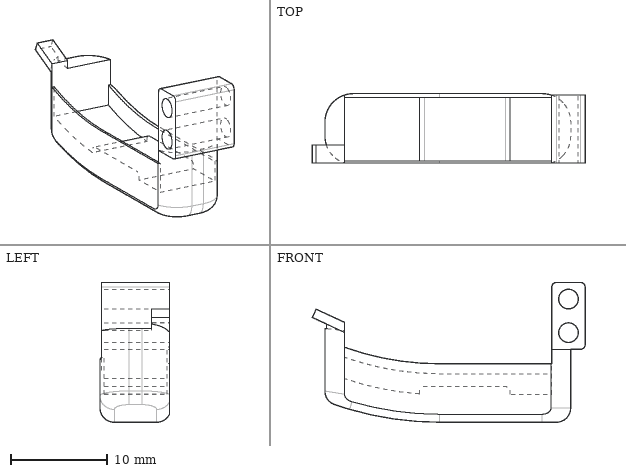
import cadquery as cq
import math

LENGTH = 28.35
BODY_LEFT = 1.3
POCKET_LEFT = 3.37
POCKET_RIGHT = 24.87
BODY_RIGHT = 26.85
BEND_X = 13.22

PAD_WIDTH = 7.1
BODY_WIDTH = 7.4
BODY_FRONT = (PAD_WIDTH - BODY_WIDTH) / 2
BODY_BACK = BODY_FRONT + BODY_WIDTH
POCKET_FRONT = 0.25
POCKET_BACK = 6.83

HEIGHT = 14.55
BOTTOM_BEND = 33.18
RIM_BEND = 29.2
FLOOR_Z = 2.9
FRONT_RIM_Z = 6.1
BACK_RIM_Z = 5.05

PLAN_RADIUS = 3.0
BOTTOM_RADIUS = 1.5
SMALL_RADIUS = 0.5

PAD_LENGTH = LENGTH - POCKET_RIGHT
PAD_HEIGHT = 2 * PAD_LENGTH
PAD_BOTTOM = HEIGHT - PAD_HEIGHT
HOLE_DIAMETER = 2.0

BLOCK_LEFT = 11.15
BLOCK_RIGHT = 20.55
BLOCK_TOP = 3.72

END_OUTER_Z = 9.75
END_INNER_Z = 9.53

TAB_WIDTH = 1.9
TAB_TIP_Z = 10.9
TAB_INNER_Z = 9.33
TAB_THICKNESS = 0.96


def bend_rise(x, radius):
    """Height gained at x by a bend that leaves the level at BEND_X."""
    return radius - math.sqrt(radius**2 - (BEND_X - x) ** 2)


def box(x_range, y_range, z_range):
    """Box spanning three (low, high) ranges."""
    sizes = [high - low for low, high in (x_range, y_range, z_range)]
    corner = (x_range[0], y_range[0], z_range[0])
    return cq.Workplane().box(*sizes, centered=False).translate(corner)


def above_bend(left, right, level, radius, front, back):
    """Solid above a surface that is level right of BEND_X and bends upward left of it."""
    middle = (left + BEND_X) / 2
    return (
        cq.Workplane("XZ", origin=(0, front, 0))
        .moveTo(left, level + bend_rise(left, radius))
        .threePointArc((middle, level + bend_rise(middle, radius)), (BEND_X, level))
        .lineTo(right, level)
        .lineTo(right, HEIGHT)
        .lineTo(left, HEIGHT)
        .close()
        .extrude(front - back)
    )


def rounded_body():
    body = above_bend(BODY_LEFT, BODY_RIGHT, 0, BOTTOM_BEND, BODY_FRONT, BODY_BACK)
    body = body.edges("|Z").fillet(PLAN_RADIUS)
    return body.faces("<Z").edges().fillet(BOTTOM_RADIUS)


def end_cutter(slope, front, back):
    """Cutter above a slope, given by its two XZ ends, on the end wall."""
    outline = slope + [(POCKET_LEFT, HEIGHT), (slope[0][0], HEIGHT)]
    return cq.Workplane("XZ", origin=(0, front, 0)).polyline(outline).close().extrude(front - back)


def trim_body(body):
    body = body.cut(box((0, LENGTH), (BODY_FRONT, 0), (0, HEIGHT)))
    middle_y = PAD_WIDTH / 2
    for level, radius, front, back in (
        (FLOOR_Z, BOTTOM_BEND - FLOOR_Z, POCKET_FRONT, POCKET_BACK),
        (FRONT_RIM_Z, RIM_BEND, BODY_FRONT, middle_y),
        (BACK_RIM_Z, RIM_BEND, middle_y, BODY_BACK),
    ):
        body = body.cut(above_bend(POCKET_LEFT, POCKET_RIGHT, level, radius, front, back))
    body = body.cut(box((POCKET_RIGHT, LENGTH), (BODY_FRONT, BODY_BACK), (PAD_BOTTOM, HEIGHT)))
    rest = [(BODY_LEFT, END_OUTER_Z), (POCKET_LEFT, END_INNER_Z)]
    body = body.cut(end_cutter(rest, TAB_WIDTH, BODY_BACK))
    under_tab = [(0, TAB_TIP_Z), (POCKET_LEFT, TAB_INNER_Z)]
    return body.cut(end_cutter(under_tab, 0, TAB_WIDTH))


def slanted_tab():
    angle = math.atan2(TAB_TIP_Z - TAB_INNER_Z, POCKET_LEFT)
    outline = [
        (0, TAB_TIP_Z),
        (TAB_THICKNESS * math.sin(angle), TAB_TIP_Z + TAB_THICKNESS * math.cos(angle)),
        (POCKET_LEFT, TAB_INNER_Z + TAB_THICKNESS / math.cos(angle)),
        (POCKET_LEFT, TAB_INNER_Z),
    ]
    return cq.Workplane("XZ").polyline(outline).close().extrude(-TAB_WIDTH)


def floor_block():
    base = FLOOR_Z / 2
    block = box((BLOCK_LEFT, BLOCK_RIGHT), (POCKET_FRONT, POCKET_BACK), (base, BLOCK_TOP))
    return block.faces(">Z").edges("|Y").fillet(SMALL_RADIUS)


def hinge_pad():
    pad = box((POCKET_RIGHT, LENGTH), (0, PAD_WIDTH), (PAD_BOTTOM, HEIGHT))
    pad = pad.edges("|Y and (>X or >Z)").fillet(SMALL_RADIUS)
    hole_x = POCKET_RIGHT + PAD_LENGTH / 2
    hole_heights = [PAD_BOTTOM + PAD_HEIGHT * share for share in (0.25, 0.75)]
    holes = (
        cq.Workplane("XZ")
        .pushPoints([(hole_x, z) for z in hole_heights])
        .circle(HOLE_DIAMETER / 2)
        .extrude(-PAD_WIDTH)
    )
    return pad.cut(holes)


result = trim_body(rounded_body()).union(floor_block()).union(slanted_tab()).union(hinge_pad())